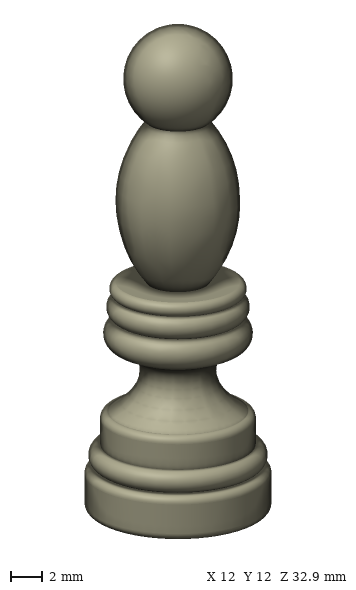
import cadquery as cq
import math

BASE_TOP = 3.0
BASE_BEAD_TOP = 4.5
DRUM_TOP = 6.75
COLLAR_BOTTOM = 11.0
LOWER_BEAD_TOP = 13.05
MIDDLE_BEAD_TOP = 14.6
COLLAR_TOP = 15.55
TOTAL_HEIGHT = 32.87

BASE_RADIUS = 12.0 / 2
DRUM_RADIUS = 10.0 / 2
BASE_BEAD_RADIUS = 5.75
COLLAR_GROOVE_RADIUS = 4.0
LOWER_BEAD_RADIUS = 4.8
MIDDLE_BEAD_RADIUS = 4.6
UPPER_BEAD_RADIUS = 4.4
BODY_END_RADIUS = 2.05
BODY_RADIUS = 4.0
HEAD_RADIUS = 3.52
EDGE_ROUND = 0.5

NECK_POINTS = [(3.4, 7.6), (2.63, 8.68), (2.45, 9.7), (2.7, 10.35), (3.25, 10.68)]

HEAD_CENTER = TOTAL_HEIGHT - HEAD_RADIUS
BODY_TOP = HEAD_CENTER - math.sqrt(HEAD_RADIUS**2 - BODY_END_RADIUS**2)


def rounded_rim(outline, radius, top):
    """Continue up a cylinder wall and round its top rim with a quarter circle."""
    center_radius = radius - EDGE_ROUND
    center_height = top - EDGE_ROUND
    diagonal = EDGE_ROUND * math.sqrt(0.5)
    return outline.lineTo(radius, center_height).threePointArc(
        (center_radius + diagonal, center_height + diagonal), (center_radius, top)
    )


def bulge(outline, end_radius, middle_radius, bottom, top):
    """Continue up an outward arc whose two ends have the same radius."""
    return outline.threePointArc((middle_radius, (bottom + top) / 2), (end_radius, top))


outline = cq.Workplane("XZ").moveTo(0, 0)

bottom_diagonal = EDGE_ROUND * (1 - math.sqrt(0.5))
outline = outline.lineTo(BASE_RADIUS - EDGE_ROUND, 0)
outline = outline.threePointArc((BASE_RADIUS - bottom_diagonal, bottom_diagonal), (BASE_RADIUS, EDGE_ROUND))
outline = rounded_rim(outline, BASE_RADIUS, BASE_TOP)

outline = outline.lineTo(DRUM_RADIUS, BASE_TOP)
outline = bulge(outline, DRUM_RADIUS, BASE_BEAD_RADIUS, BASE_TOP, BASE_BEAD_TOP)
outline = rounded_rim(outline, DRUM_RADIUS, DRUM_TOP)

neck_end = (COLLAR_GROOVE_RADIUS, COLLAR_BOTTOM)
outline = outline.spline(NECK_POINTS + [neck_end], includeCurrent=True)

collar_beads = [
    (LOWER_BEAD_RADIUS, COLLAR_BOTTOM, LOWER_BEAD_TOP),
    (MIDDLE_BEAD_RADIUS, LOWER_BEAD_TOP, MIDDLE_BEAD_TOP),
    (UPPER_BEAD_RADIUS, MIDDLE_BEAD_TOP, COLLAR_TOP),
]
for bead_radius, bead_bottom, bead_top in collar_beads:
    outline = bulge(outline, COLLAR_GROOVE_RADIUS, bead_radius, bead_bottom, bead_top)

outline = outline.lineTo(BODY_END_RADIUS, COLLAR_TOP)
outline = bulge(outline, BODY_END_RADIUS, BODY_RADIUS, COLLAR_TOP, BODY_TOP)
outline = outline.threePointArc((HEAD_RADIUS, HEAD_CENTER), (0, TOTAL_HEIGHT))

result = outline.close().revolve(360, (0, 0, 0), (0, 1, 0))